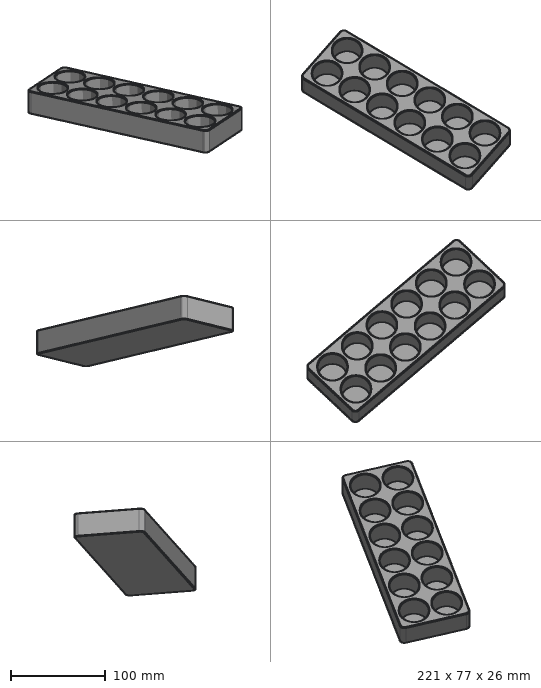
import cadquery as cq

length = 221.0
width = 77.0
height = 26.0
corner_radius = 5.0
edge_chamfer = 1.0

columns = 6
rows = 2
pitch = 36.0
pocket_diameter = 31.0
rim_chamfer = 1.0
floor_thickness = 2.0
pocket_depth = height - floor_thickness


def make_block():
    """Block with rounded corners and chamfered top and bottom edges."""
    block = cq.Workplane("XY").box(length, width, height, centered=(True, True, False))
    block = block.edges("|Z").fillet(corner_radius)
    return block.faces("<Z or >Z").edges().chamfer(edge_chamfer)


def make_pocket_cutters():
    """One flat-bottomed cutter per pocket, flared at the top for the rim chamfer."""
    radius = pocket_diameter / 2
    profile = [
        (0, height),
        (radius + rim_chamfer, height),
        (radius, height - rim_chamfer),
        (radius, height - pocket_depth),
        (0, height - pocket_depth),
    ]
    cutter = cq.Workplane("XZ").polyline(profile).close().revolve(360, (0, 0), (0, 1)).val()
    grid = cq.Workplane("XY").rarray(pitch, pitch, columns, rows)
    return grid.eachpoint(lambda place: cutter.moved(place))


result = make_block().cut(make_pocket_cutters())